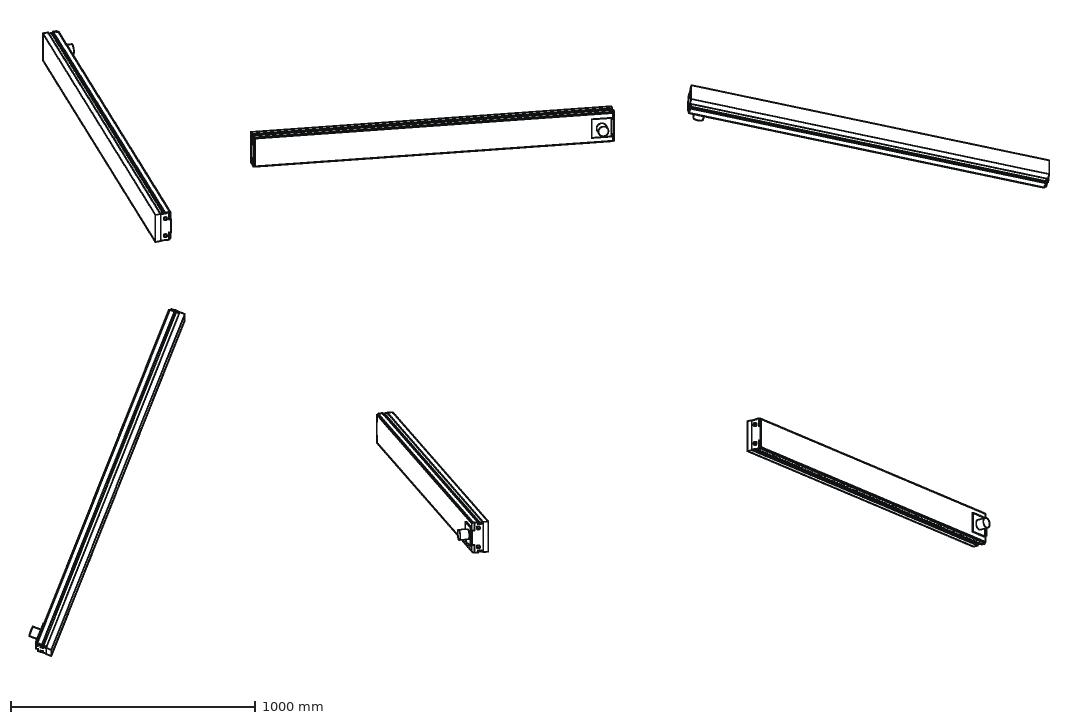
import cadquery as cq

OVERALL_LENGTH = 1510
PIN_REACH = 5.0
LENGTH = OVERALL_LENGTH - PIN_REACH
HEIGHT = 130.0
DEPTH = 110.0
BACK_Y = 68.0

PANEL_THICKNESS = 23.0

BACK_CHAMFER = 5.0
GROOVE_FRONT_Y = 36.0
GROOVE_BACK_Y = 44.0
GROOVE_DEPTH = 8.0
STRIP_SETBACK = 2.0

CAP_THICKNESS = 6.0
CAP_NOTCH_Y = 59.0
CAP_NOTCH_Z = 32.0

PIN_DIAMETER = 14.0
PIN_Y = 42.0
PIN_Z = 41.0

FLANGE_SIZE = 82.0
FLANGE_THICKNESS = 5.0
CONNECTOR_X = 55.0
CONNECTOR_DIAMETER = 42.0

HALF_HEIGHT = HEIGHT / 2
GROOVE_FLOOR_Z = HALF_HEIGHT - GROOVE_DEPTH


def symmetric_bar(upper_points, start_x, length):
    """Extrude along X the (Y, Z) outline made of the upper points and their mirror below Z = 0."""
    lower_points = [(y, -z) for y, z in reversed(upper_points)]
    plane = cq.Workplane("YZ", origin=(start_x, 0, 0))
    return plane.polyline(upper_points + lower_points).close().extrude(length)


def coupling_cylinders(start_x, length):
    """Pair of cylinders along X at the coupling positions."""
    centres = [(PIN_Y, PIN_Z), (PIN_Y, -PIN_Z)]
    plane = cq.Workplane("YZ", origin=(start_x, 0, 0))
    return plane.pushPoints(centres).circle(PIN_DIAMETER / 2).extrude(length)


def make_panel():
    return cq.Workplane("XY").box(LENGTH, PANEL_THICKNESS, HEIGHT, centered=(False, False, True))


def make_housing():
    """Bar between the caps, with a groove and a lowered strip on its top and bottom."""
    strip_z = HALF_HEIGHT - STRIP_SETBACK
    upper_points = [
        (PANEL_THICKNESS, strip_z),
        (GROOVE_FRONT_Y, strip_z),
        (GROOVE_FRONT_Y, GROOVE_FLOOR_Z),
        (GROOVE_BACK_Y, GROOVE_FLOOR_Z),
        (GROOVE_BACK_Y, HALF_HEIGHT),
        (BACK_Y - BACK_CHAMFER, HALF_HEIGHT),
        (BACK_Y, HALF_HEIGHT - BACK_CHAMFER),
    ]
    return symmetric_bar(upper_points, CAP_THICKNESS, LENGTH - 2 * CAP_THICKNESS)


def cap_plate(start_x, front_z):
    """End plate with notched back corners; front_z is its half height in front of the groove's back wall."""
    upper_points = [
        (PANEL_THICKNESS, front_z),
        (GROOVE_BACK_Y, front_z),
        (GROOVE_BACK_Y, HALF_HEIGHT),
        (CAP_NOTCH_Y, HALF_HEIGHT),
        (CAP_NOTCH_Y, CAP_NOTCH_Z),
        (BACK_Y, CAP_NOTCH_Z),
    ]
    return symmetric_bar(upper_points, start_x, CAP_THICKNESS)


def make_socket_cap():
    """Cap at the connector end, level with the groove floor and pierced by two sockets."""
    return cap_plate(0, GROOVE_FLOOR_Z).cut(coupling_cylinders(0, CAP_THICKNESS))


def make_pin_cap():
    """Cap at the far end, closing the grooves and carrying two coupling pins."""
    start_x = LENGTH - CAP_THICKNESS
    plate = cap_plate(start_x, HALF_HEIGHT - STRIP_SETBACK)
    return plate.union(coupling_cylinders(start_x, CAP_THICKNESS + PIN_REACH))


def make_connector():
    """Round connector on a square flange, standing on the back of the housing."""
    flange = cq.Workplane("XY").box(FLANGE_SIZE, FLANGE_THICKNESS, FLANGE_SIZE, centered=(True, False, True))
    barrel = cq.Workplane("XZ").circle(CONNECTOR_DIAMETER / 2).extrude(-(DEPTH - BACK_Y))
    return flange.union(barrel).translate((CONNECTOR_X, BACK_Y, 0))


panel = make_panel()
housing = make_housing()
socket_cap = make_socket_cap()
pin_cap = make_pin_cap()
connector = make_connector()

result = cq.Compound.makeCompound([
    panel.val(),
    housing.val(),
    socket_cap.val(),
    pin_cap.val(),
    connector.val(),
])